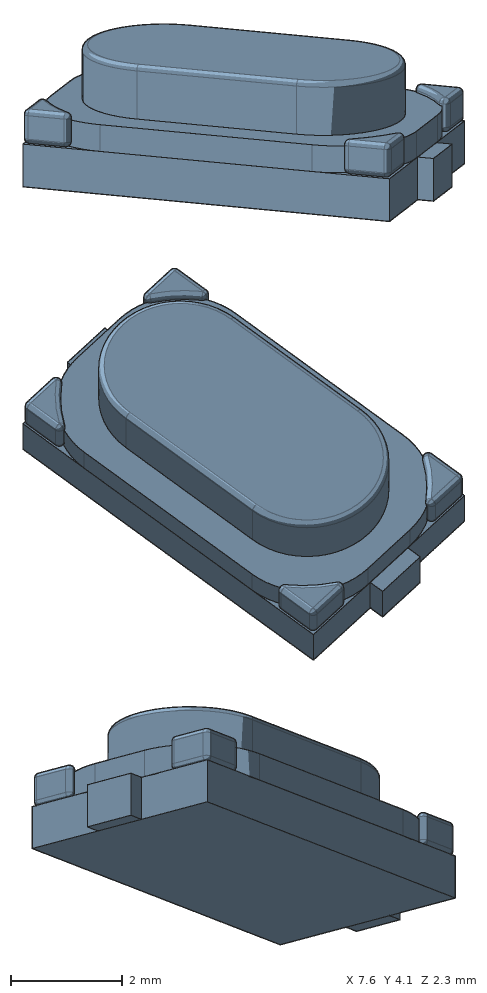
import cadquery as cq

BASE_LENGTH = 7.0
BASE_WIDTH = 4.1
BASE_HEIGHT = 0.8

OVERALL_LENGTH = 7.6
TERMINAL_LENGTH = (OVERALL_LENGTH - BASE_LENGTH) / 2
TERMINAL_WIDTH = 1.02

FLANGE_THICKNESS = 0.5
DOME_LENGTH = 6.0
DOME_WIDTH = 2.95
FLANGE_CORNER_RADIUS = DOME_WIDTH / 2
OVERALL_HEIGHT = 2.3
DOME_HEIGHT = OVERALL_HEIGHT - BASE_HEIGHT - FLANGE_THICKNESS
DOME_EDGE_RADIUS = 0.1

POST_SIZE = 0.885
POST_END_WIDTH = 0.16
POST_WAIST = 0.485
POST_HEIGHT = 0.64
POST_EDGE_RADIUS = 0.1

SIDES = (-1, 1)


def make_base():
    return cq.Workplane("XY").box(BASE_LENGTH, BASE_WIDTH, BASE_HEIGHT, centered=(True, True, False))


def make_terminal(x_side):
    """Block standing against one end face of the base, flush with its top and bottom."""
    x_center = x_side * (BASE_LENGTH + TERMINAL_LENGTH) / 2
    return (
        cq.Workplane("XY")
        .center(x_center, 0)
        .box(TERMINAL_LENGTH, TERMINAL_WIDTH, BASE_HEIGHT, centered=(True, True, False))
    )


def make_post(x_side, y_side):
    """Post with all edges rounded, its outer faces flush with one corner of the base."""

    def from_corner(x_inset, y_inset):
        return (x_side * (BASE_LENGTH / 2 - x_inset), y_side * (BASE_WIDTH / 2 - y_inset))

    return (
        cq.Workplane("XY", origin=(0, 0, BASE_HEIGHT))
        .moveTo(*from_corner(0, 0))
        .lineTo(*from_corner(POST_SIZE, 0))
        .lineTo(*from_corner(POST_SIZE, POST_END_WIDTH))
        .threePointArc(from_corner(POST_WAIST, POST_WAIST), from_corner(POST_END_WIDTH, POST_SIZE))
        .lineTo(*from_corner(0, POST_SIZE))
        .close()
        .extrude(POST_HEIGHT)
        .edges()
        .fillet(POST_EDGE_RADIUS)
    )


def make_cover(corner_posts):
    """Flange and dome in one piece, with a matching recess for each corner post."""
    flange = (
        cq.Workplane("XY", origin=(0, 0, BASE_HEIGHT))
        .box(BASE_LENGTH, BASE_WIDTH, FLANGE_THICKNESS, centered=(True, True, False))
        .edges("|Z")
        .fillet(FLANGE_CORNER_RADIUS)
    )
    dome = (
        cq.Workplane("XY", origin=(0, 0, BASE_HEIGHT + FLANGE_THICKNESS))
        .slot2D(DOME_LENGTH, DOME_WIDTH)
        .extrude(DOME_HEIGHT)
        .faces(">Z")
        .edges()
        .fillet(DOME_EDGE_RADIUS)
    )
    solid_cover = flange.union(dome)
    for post in corner_posts:
        solid_cover = solid_cover.cut(post)
    return solid_cover


base = make_base()
terminals = [make_terminal(x_side) for x_side in SIDES]
posts = [make_post(x_side, y_side) for x_side in SIDES for y_side in SIDES]
cover = make_cover(posts)

result = cq.Compound.makeCompound(
    [
        base.val(),
        *[terminal.val() for terminal in terminals],
        *[post.val() for post in posts],
        *cover.vals(),
    ]
)